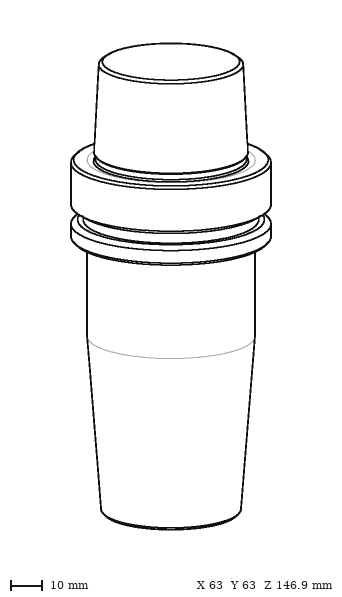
import cadquery as cq

total_height = 146.9

shank_length = 32.0
shank_top_radius = 22.8
shank_base_radius = 24.2
shank_top_chamfer_height = 0.9
shank_top_chamfer_width = 1.2
neck_radius = 23.8
neck_height = 2.4
neck_foot_radius = 24.4
neck_foot_flare_height = 0.6
neck_chamfer = shank_base_radius - neck_radius

flange_diameter = 63.0
flange_radius = flange_diameter / 2
flange_height = 25.9
flange_chamfer = 0.9
groove_radius = 27.6
groove_lip_radius = 29.4
groove_top_depth = 15.9
groove_floor_height = 3.7
groove_bevel_height = 1.3
recess_depth = 0.5

body_radius = 26.5
cone_height = 57.5
tip_radius = 22.0
tip_chamfer = 0.9

flange_top = total_height - shank_length
flange_bottom = flange_top - flange_height
shank_base = flange_top + neck_height
groove_top = flange_top - groove_top_depth
groove_bottom = groove_top - groove_floor_height

shank_points = [
    (shank_base_radius, shank_base),
    (shank_top_radius, total_height - shank_top_chamfer_height),
    (shank_top_radius - shank_top_chamfer_width, total_height),
]

neck_points = [
    (body_radius, flange_top),
    (neck_foot_radius, flange_top - recess_depth),
    (neck_radius, flange_top - recess_depth + neck_foot_flare_height),
    (neck_radius, shank_base - neck_chamfer),
]

flange_points = [
    (flange_radius - flange_chamfer, flange_bottom),
    (flange_radius, flange_bottom + flange_chamfer),
    (flange_radius, groove_bottom - groove_bevel_height),
    (groove_lip_radius, groove_bottom),
    (groove_radius, groove_bottom),
    (groove_radius, groove_top),
    (groove_lip_radius, groove_top),
    (flange_radius, groove_top + groove_bevel_height),
    (flange_radius, flange_top - flange_chamfer),
    (flange_radius - flange_chamfer, flange_top),
]

body_points = [
    (0, 0),
    (tip_radius - tip_chamfer, 0),
    (tip_radius, tip_chamfer),
    (body_radius, cone_height),
    (body_radius, flange_bottom),
]

profile = body_points + flange_points + neck_points + shank_points + [(0, total_height)]
result = cq.Workplane("XZ").polyline(profile).close().revolve(360, (0, 0, 0), (0, 1, 0))